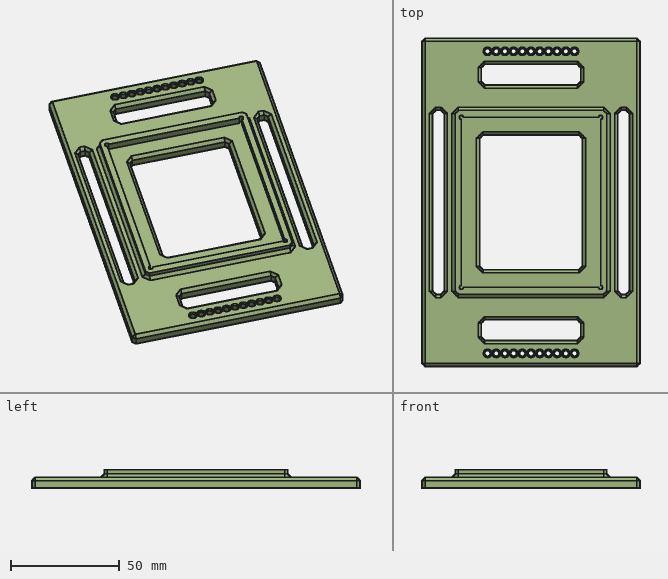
import cadquery as cq
plate_x = 100.3
plate_y = 151.0
plate_z = 5.0
edge = 1.5

frame_x = 69.8
frame_y = 84.5
frame_top = 8.5

recess_x = 64.0
recess_y = 78.2
recess_floor = plate_z
relief_diameter = 1.8

window_x = 47.1
window_y = 61.9
end_slot_x = 45.6
end_slot_y = 9.4
end_slot_offset = 58.7
side_slot_x = 5.3
side_slot_y = 84.5
side_slot_offset = 42.6

hole_count = 11
hole_row_span = 40.0
hole_pitch = hole_row_span / (hole_count - 1)
hole_diameter = 2.5
hole_chamfer = 0.6
mouth_angle = 45
hole_row_offset = 69.5


def cut_corner_points(size_x, size_y, corner):
    """Points of a centred rectangle whose corners are cut by the given leg."""
    half_x = size_x / 2
    half_y = size_y / 2
    return [
        (half_x, half_y - corner),
        (half_x - corner, half_y),
        (corner - half_x, half_y),
        (-half_x, half_y - corner),
        (-half_x, corner - half_y),
        (corner - half_x, -half_y),
        (half_x - corner, -half_y),
        (half_x, corner - half_y),
    ]


def make_block(size_x, size_y, height):
    """Upright block on Z = 0 with cut vertical corners."""
    return cq.Workplane("XY").polyline(cut_corner_points(size_x, size_y, edge)).close().extrude(height)


def make_flare(size_x, size_y, start, rise):
    """Flare from a block's outline at height start; sides and corner legs all grow by one chamfer leg."""
    narrow = cut_corner_points(size_x, size_y, edge)
    wide = cut_corner_points(size_x + 2 * edge, size_y + 2 * edge, 2 * edge)
    return (
        cq.Workplane("XY", origin=(0, 0, start))
        .polyline(narrow)
        .close()
        .workplane(offset=rise)
        .polyline(wide)
        .close()
        .loft(ruled=True)
    )


def make_plate():
    """Plate with equal chamfers on its top and vertical edges, joined by a triangle at each corner."""
    block = cq.Workplane("XY").box(plate_x, plate_y, plate_z, centered=(True, True, False))
    return block.edges("|Z or >Z").chamfer(edge)


def make_frame():
    """Frame block with a foot that flares out down to the plate."""
    foot = make_flare(frame_x, frame_y, plate_z + edge, -edge)
    return make_block(frame_x, frame_y, frame_top).union(foot)


def make_recess():
    """Cutter for the rectangular recess and its corner reliefs."""
    floor = cq.Workplane("XY").workplane(offset=recess_floor)
    depth = frame_top - recess_floor
    pocket = floor.rect(recess_x, recess_y).extrude(depth)
    reliefs = (
        floor.rect(recess_x, recess_y, forConstruction=True)
        .vertices()
        .circle(relief_diameter / 2)
        .extrude(depth)
    )
    return pocket.union(reliefs)


def make_opening(size_x, size_y):
    """Cutter for a through opening that flares out up to the plate top."""
    mouth = make_flare(size_x, size_y, plate_z - edge, edge)
    return make_block(size_x, size_y, plate_z).union(mouth)


def make_hole_row():
    """Cutter for one row of through holes with chamfered mouths."""
    shafts = (
        cq.Workplane("XY")
        .rarray(hole_pitch, 1.5, hole_count, 1)
        .circle(hole_diameter / 2)
        .extrude(plate_z)
    )
    mouths = (
        cq.Workplane("XY", origin=(0, 0, plate_z - hole_chamfer))
        .rarray(hole_pitch, 1.5, hole_count, 1)
        .circle(hole_diameter / 2)
        .extrude(hole_chamfer, taper=-mouth_angle)
    )
    return shafts.union(mouths)


result = make_plate().union(make_frame()).cut(make_recess()).cut(make_opening(window_x, window_y))

end_slot = make_opening(end_slot_x, end_slot_y)
side_slot = make_opening(side_slot_x, side_slot_y)
hole_row = make_hole_row()
for side in (-1, 1):
    result = result.cut(end_slot.translate((0, side * end_slot_offset, 0)))
    result = result.cut(side_slot.translate((side * side_slot_offset, 0, 0)))
    result = result.cut(hole_row.translate((0, side * hole_row_offset, 0)))